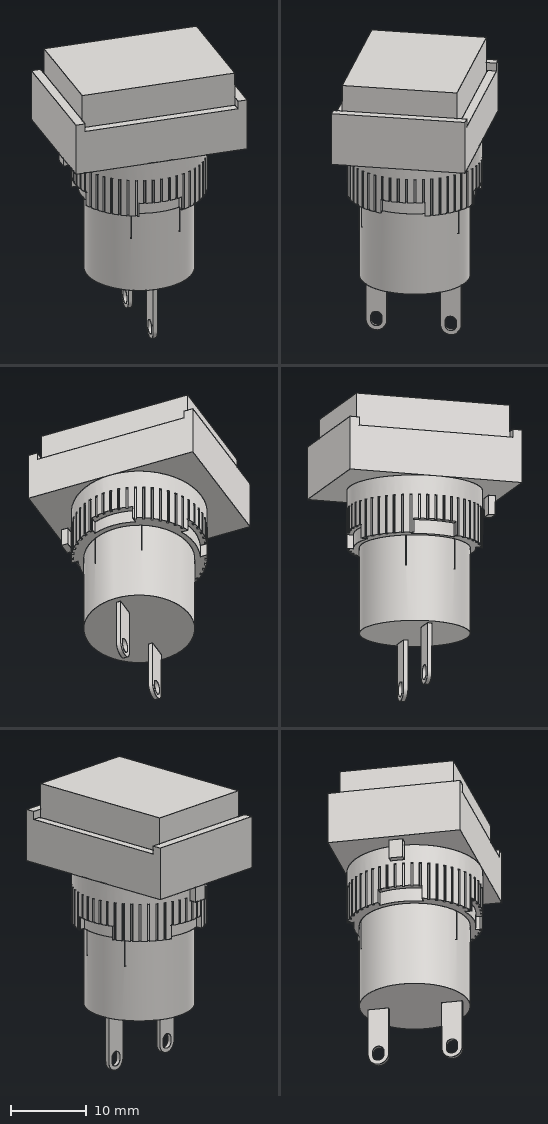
import cadquery as cq
import math

OVERALL_HEIGHT = 38.2
BEZEL_HEIGHT = 7.2
BUTTON_RISE = 3.6
RING_HEIGHT = 7.75
TERMINAL_LENGTH = 8.02
BARREL_BOTTOM = -(OVERALL_HEIGHT - BUTTON_RISE - BEZEL_HEIGHT - TERMINAL_LENGTH)

BEZEL_X = 18.0
BEZEL_Y = 24.0
POCKET_X = 15.6
POCKET_Y = 21.4
RIM_NOTCH_DEPTH = 1.1
POCKET_DEPTH = 3.6

BUTTON_GAP = 0.1
BUTTON_X = POCKET_X - BUTTON_GAP

KEY_X = 1.87
KEY_Y = 0.95
KEY_HEIGHT = 2.6
KEY_CENTRE_Y = -10.45

BARREL_DIAMETER = 14.7
RING_DIAMETER = BEZEL_X
GROOVE_COUNT = 50
GROOVE_WIDTH = 0.25
GROOVE_START = KEY_HEIGHT
GROOVE_DEPTH = 0.3
RING_NOTCH_COUNT = 4
RING_NOTCH_WIDTH = 5.92
RING_NOTCH_HEIGHT = 1.87
RING_NOTCH_FLOOR_DIAMETER = 16.2

SLIT_WIDTH = 0.08
SLIT_LENGTH = 4.1
SLIT_DEPTH = 0.6
TONGUE_WIDTH = 6.85

TERMINAL_SPACING = 10.0
TERMINAL_OFFSET = 0.1
TERMINAL_WIDTH = 2.8
TERMINAL_THICKNESS = 0.6
EYE_WIDTH = 1.53
EYE_HEIGHT = 2.0
EYE_CENTRE_HEIGHT = 1.6


def box(size_x, size_y, bottom, top):
    """Box centred on the Z axis between two heights."""
    return cq.Workplane("XY", origin=(0, 0, bottom)).box(
        size_x, size_y, top - bottom, centered=(True, True, False)
    )


def cylinder(diameter, bottom, top):
    """Cylinder on the Z axis between two heights."""
    return cq.Workplane("XY", origin=(0, 0, bottom)).circle(diameter / 2).extrude(top - bottom)


def make_bezel():
    side_rim_top = BEZEL_HEIGHT - RIM_NOTCH_DEPTH
    bezel = box(BEZEL_X, BEZEL_Y, 0, BEZEL_HEIGHT)
    rim_notch = box(BEZEL_X, POCKET_Y, side_rim_top, BEZEL_HEIGHT)
    pocket = box(POCKET_X, POCKET_Y, BEZEL_HEIGHT - POCKET_DEPTH, BEZEL_HEIGHT)
    key = box(KEY_X, KEY_Y, -KEY_HEIGHT, 0).translate((0, KEY_CENTRE_Y, 0))
    return bezel.cut(rim_notch).cut(pocket).union(key)


def make_ring():
    """Grooved grip ring with notches in its lower edge."""
    ring = cylinder(RING_DIAMETER, -RING_HEIGHT, 0)
    ring_radius = RING_DIAMETER / 2

    groove = box(2 * GROOVE_DEPTH, GROOVE_WIDTH, -RING_HEIGHT, -GROOVE_START)
    groove = groove.translate((-ring_radius, 0, 0))
    for index in range(GROOVE_COUNT):
        ring = ring.cut(groove.rotate((0, 0, 0), (0, 0, 1), index * 360 / GROOVE_COUNT))

    notch = box(ring_radius, RING_NOTCH_WIDTH, -RING_HEIGHT, -RING_HEIGHT + RING_NOTCH_HEIGHT)
    notch = notch.translate((-ring_radius, 0, 0))
    notch = notch.cut(cylinder(RING_NOTCH_FLOOR_DIAMETER, -RING_HEIGHT, 0))
    for index in range(RING_NOTCH_COUNT):
        ring = ring.cut(notch.rotate((0, 0, 0), (0, 0, 1), index * 360 / RING_NOTCH_COUNT))
    return ring


def make_barrel():
    """Barrel below the ring, with two slits beside each snap tongue."""
    barrel = cylinder(BARREL_DIAMETER, BARREL_BOTTOM, -RING_HEIGHT)
    slit_y = (TONGUE_WIDTH - SLIT_WIDTH) / 2
    surface_x = math.sqrt((BARREL_DIAMETER / 2) ** 2 - slit_y ** 2)
    slit = box(2 * SLIT_DEPTH, SLIT_WIDTH, -RING_HEIGHT - SLIT_LENGTH, -RING_HEIGHT)
    for side_x in (-1, 1):
        for side_y in (-1, 1):
            barrel = barrel.cut(slit.translate((side_x * surface_x, side_y * slit_y, 0)))
    return barrel


def make_terminal(centre_x):
    """Flat tab with a round tip and an oblong eye."""
    tip = BARREL_BOTTOM - TERMINAL_LENGTH
    end_radius = TERMINAL_WIDTH / 2
    tab = (
        cq.Workplane("XZ", origin=(centre_x, 0, 0))
        .moveTo(-end_radius, BARREL_BOTTOM)
        .lineTo(-end_radius, tip + end_radius)
        .threePointArc((0, tip), (end_radius, tip + end_radius))
        .lineTo(end_radius, BARREL_BOTTOM)
        .close()
        .extrude(TERMINAL_THICKNESS / 2, both=True)
    )
    eye = (
        cq.Workplane("XZ", origin=(centre_x, 0, tip + EYE_CENTRE_HEIGHT))
        .slot2D(EYE_HEIGHT, EYE_WIDTH, 90)
        .extrude(TERMINAL_THICKNESS, both=True)
    )
    return tab.cut(eye)


def make_housing():
    housing = make_bezel().union(make_ring()).union(make_barrel())
    for side in (-1, 1):
        housing = housing.union(make_terminal(TERMINAL_OFFSET + side * TERMINAL_SPACING / 2))
    return housing


def make_button():
    """Rectangular button standing on the pocket floor."""
    button = box(BUTTON_X, POCKET_Y, BEZEL_HEIGHT - POCKET_DEPTH, BEZEL_HEIGHT + BUTTON_RISE)
    return button.translate((BUTTON_GAP / 2, 0, 0))


housing = make_housing()
button = make_button()
result = cq.Compound.makeCompound([housing.val(), button.val()])